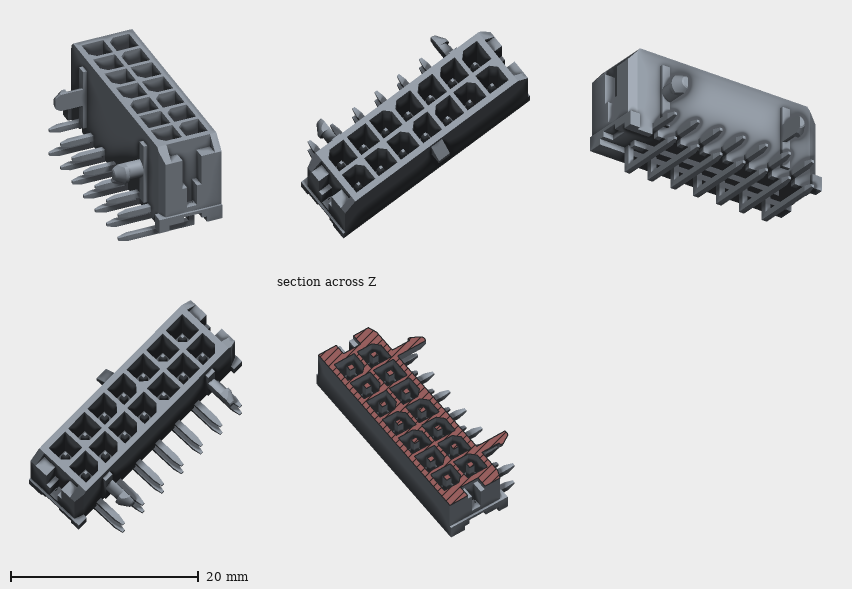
import cadquery as cq


total_length = 25.15
total_depth = 11.95
total_height = 12.24

housing_depth = 6.90
housing_height = 9.94
block_half = 10.97
wing_half = 12.33
wing_top = 8.37
wing_bevel_x = 1.0
wing_bevel_y = 0.38
wing_front_half = wing_half - wing_bevel_x
gusset_front = 1.07
gusset_back = 0.76

flange_half = total_length / 2
flange_height = 1.68
foot_reach = 0.45

slot_center_y = 3.45
upper_slot_width = 2.20
upper_slot_floor = 4.78
lower_slot_width = 1.14
lower_slot_floor = 2.28
recess_width = 0.90
recess_outer = 11.67
recess_depth = 0.30

cavity_front = 0.69
cavity_back = 5.09
cavity_height = 0.68
end_notch_width = 2.07
end_notch_top = 1.30
standoff_width = 0.70
standoff_length = 19.0

columns = 7
pitch = 3.0
front_row_y = 1.93
back_row_y = front_row_y + pitch
pocket_size = 2.54
pocket_key = 0.68
pocket_floor = 2.30
pin_size = 0.68
pin_tip_size = 0.32
pin_taper = 1.0
pin_top = 7.5
front_tail_z = cavity_height + pin_size / 2
back_tail_z = housing_height - total_height + pin_size / 2
back_leg_y = cavity_back - pin_size / 2

rib_inner = 7.37
rib_width = 1.03
rib_bottom = 1.38
rib_top = 8.57
peg_z = 5.33
peg_radius = rib_width
peg_head_radius = 1.33
peg_neck_radius = 0.70
peg_tip_radius = 0.52
peg_head_y = -2.19
peg_cone_y = -2.57

latch_width = 1.46
latch_reach = 1.36
latch_top = 9.34
latch_nose_top = 7.74
latch_bottom = 6.98
latch_fillet = 0.43

tail_end_y = housing_depth + latch_reach - total_depth
peg_tip_edge = 0.11

left, right, square = -1, 1, 0
back_keys = [left, left, right, right, left, left, left]
front_keys = [right, right, right, right, left, square, right]


def box(x_min, x_max, y_min, y_max, z_min, z_max):
    size = (x_max - x_min, y_max - y_min, z_max - z_min)
    return cq.Workplane("XY").box(*size, centered=False).translate((x_min, y_min, z_min))


def group(parts):
    """Gather separate solids so that one boolean operation handles them all."""
    return cq.Workplane("XY").newObject([part.val() for part in parts])


def both_ends(shape):
    return shape.union(shape.mirror("YZ"))


def column_positions():
    return [(i - (columns - 1) / 2) * pitch for i in range(columns)]


def make_wings():
    """Full-length layer with bevelled front corners and sloped end gussets above the wing tops."""
    plan = [
        (-wing_half, housing_depth),
        (-wing_half, wing_bevel_y),
        (-wing_front_half, 0),
        (wing_front_half, 0),
        (wing_half, wing_bevel_y),
        (wing_half, housing_depth),
    ]
    profile = [
        (-wing_half, 0),
        (-wing_half, wing_top),
        (-block_half, housing_height),
        (block_half, housing_height),
        (wing_half, wing_top),
        (wing_half, 0),
    ]
    body = cq.Workplane("XY").polyline(plan).close().extrude(housing_height)
    slopes = cq.Workplane("XZ").polyline(profile).close().extrude(-housing_depth)
    gap = box(
        block_half, wing_half, gusset_front, housing_depth - gusset_back, wing_top, housing_height
    )
    return body.intersect(slopes).cut(both_ends(gap))


def make_flange():
    flange = box(-flange_half, flange_half, 0, housing_depth, 0, flange_height)
    foot = box(wing_front_half, flange_half, -foot_reach, 0, 0, flange_height)
    return flange.union(both_ends(foot))


def end_slot(x_inner, width, z_floor, z_top):
    half = width / 2
    slot = box(x_inner, flange_half, slot_center_y - half, slot_center_y + half, z_floor, z_top)
    return both_ends(slot)


def cut_latch_slots(body):
    body = body.cut(end_slot(block_half, upper_slot_width, upper_slot_floor, wing_top))
    body = body.cut(end_slot(block_half, lower_slot_width, lower_slot_floor, upper_slot_floor))
    half = recess_width / 2
    recess_floor = lower_slot_floor - recess_depth
    recess = box(
        wing_front_half, recess_outer, slot_center_y - half, slot_center_y + half,
        recess_floor, lower_slot_floor,
    )
    half = lower_slot_width / 2
    inner_recess = box(
        block_half, wing_front_half, slot_center_y - half, slot_center_y + half,
        recess_floor, lower_slot_floor,
    )
    return body.cut(both_ends(recess.union(inner_recess)))


def cut_underside(body):
    body = body.cut(box(-flange_half, flange_half, cavity_front, cavity_back, 0, cavity_height))
    body = body.cut(end_slot(wing_front_half, end_notch_width, 0, end_notch_top))
    half = pin_size / 2
    channels = [
        box(x - half, x + half, 0, cavity_front, 0, cavity_height) for x in column_positions()
    ]
    body = body.cut(group(channels))
    half = standoff_width / 2
    standoff = box(
        -standoff_length / 2, standoff_length / 2, slot_center_y - half, slot_center_y + half,
        0, cavity_height,
    )
    return body.union(standoff)


def make_pocket(x, y, key_side):
    half = pocket_size / 2
    pocket = box(x - half, x + half, y - half, y + half, pocket_floor, housing_height)
    if key_side == square:
        return pocket
    key_edge = "|Z and <Y and <X" if key_side == left else "|Z and <Y and >X"
    return pocket.edges(key_edge).chamfer(pocket_key)


def cut_pockets(body):
    pockets = []
    for x, back_key, front_key in zip(column_positions(), back_keys, front_keys):
        pockets.append(make_pocket(x, back_row_y, back_key))
        pockets.append(make_pocket(x, front_row_y, front_key))
    return body.cut(group(pockets))


def tapered_tip(plane):
    """Square tip of a pin on a plane whose normal points out along the pin."""
    return (
        cq.Workplane(plane)
        .rect(pin_size, pin_size)
        .workplane(offset=pin_taper)
        .rect(pin_tip_size, pin_tip_size)
        .loft(combine=True)
    )


def make_upright(x, y, z_bottom):
    half = pin_size / 2
    shank_top = pin_top - pin_taper
    shank = box(x - half, x + half, y - half, y + half, z_bottom, shank_top)
    return shank.union(tapered_tip(cq.Plane((x, y, shank_top), (1, 0, 0), (0, 0, 1))))


def make_tail(x, y_start, z):
    half = pin_size / 2
    shank_end = tail_end_y + pin_taper
    shank = box(x - half, x + half, shank_end, y_start, z - half, z + half)
    return shank.union(tapered_tip(cq.Plane((x, shank_end, z), (1, 0, 0), (0, -1, 0))))


def make_front_pin(x):
    return make_upright(x, front_row_y, cavity_height).union(make_tail(x, front_row_y, front_tail_z))


def make_back_pin(x):
    """The leg below the housing sits slightly forward of the upright in the pocket."""
    half = pin_size / 2
    leg = box(
        x - half, x + half, back_leg_y - half, back_leg_y + half, back_tail_z - half, pocket_floor
    )
    tail = make_tail(x, back_leg_y, back_tail_z)
    return leg.union(tail).union(make_upright(x, back_row_y, cavity_height))


def add_pins(body):
    pins = []
    for x in column_positions():
        pins.append(make_front_pin(x))
        pins.append(make_back_pin(x))
    return body.union(group(pins))


def make_peg():
    """Half-round peg on the +X side: a shaft and a wider head trimmed to the shaft height."""
    profile = [
        (0, 0),
        (peg_radius, 0),
        (peg_radius, peg_head_y),
        (peg_head_radius, peg_head_y),
        (peg_head_radius, peg_cone_y),
        (peg_neck_radius, tail_end_y + peg_tip_edge),
        (peg_tip_radius, tail_end_y),
        (0, tail_end_y),
    ]
    peg = cq.Workplane("XY").polyline(profile).close().revolve(360, (0, 0), (0, 1))
    keep = box(0, peg_head_radius, tail_end_y, 0, -peg_radius, peg_radius)
    return peg.intersect(keep).translate((rib_inner, 0, peg_z))


def add_pegs(body):
    rib = box(rib_inner, rib_inner + rib_width, -foot_reach, 0, rib_bottom, rib_top)
    return body.union(both_ends(rib.union(make_peg())))


def make_latch():
    nose_y = housing_depth + latch_reach
    arc_y = housing_depth + latch_fillet
    arc_z = latch_bottom - latch_fillet
    return (
        cq.Workplane("YZ")
        .moveTo(housing_depth, latch_top)
        .lineTo(nose_y, latch_nose_top)
        .lineTo(nose_y, latch_bottom)
        .lineTo(arc_y, latch_bottom)
        .radiusArc((housing_depth, arc_z), -latch_fillet)
        .close()
        .extrude(latch_width / 2, both=True)
    )


housing = make_wings().union(make_flange())
housing = cut_latch_slots(housing)
housing = cut_underside(housing)
housing = cut_pockets(housing)
housing = add_pins(housing)
housing = add_pegs(housing)
result = housing.union(make_latch())